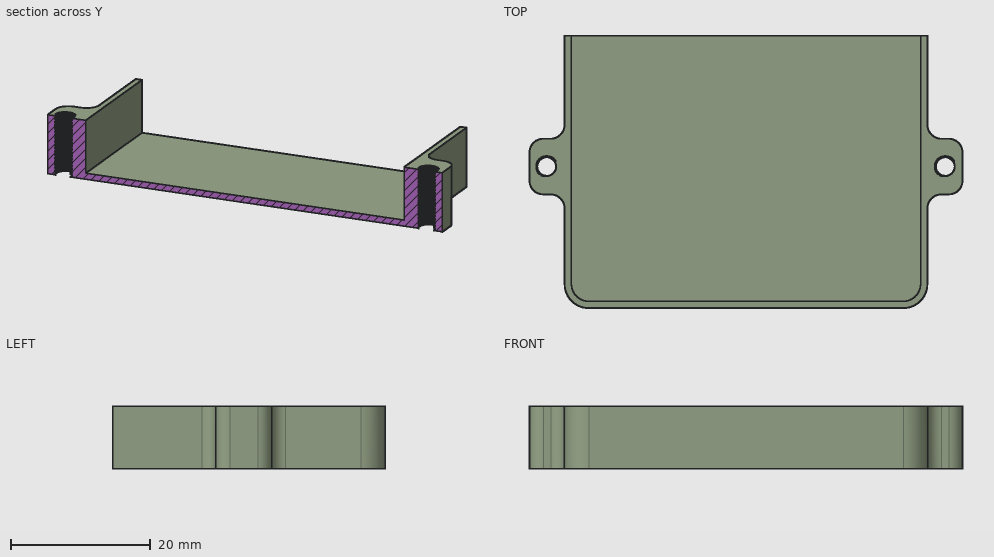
import cadquery as cq
import math

overall_width = 62.0
tray_depth = 39.0
height = 9.0
wall = 1.0
floor = 1.0
corner_radius = 3.5

ear_reach = 5.0
ear_width = 8.0
ear_radius = 2.0
ear_center_y = 20.3
hole_diameter = 2.65
hole_edge_distance = 2.5

thread_pitch = 0.5
thread_root_diameter = 3.05
thread_root_flat = 0.1
thread_flank_angle = math.radians(30)
thread_start_angle = 135
groove_overlap = 0.05
run_out_turns = 2

tray_width = overall_width - 2 * ear_reach
hole_x = overall_width / 2 - hole_edge_distance

def tray_block(inset, base_z):
    """Block with rounded front corners, inset from the front and side faces of the tray."""
    return (
        cq.Workplane("XY")
        .box(tray_width - 2 * inset, tray_depth - inset, height - base_z, centered=(True, False, False))
        .edges("|Z and <Y")
        .fillet(corner_radius - inset)
        .translate((0, inset, base_z))
    )

ear_bar = (
    cq.Workplane("XY")
    .box(overall_width, ear_width, height, centered=(True, True, False))
    .edges("|Z")
    .fillet(ear_radius)
    .translate((0, ear_center_y, 0))
)
body = tray_block(0, 0).union(ear_bar)

corner_reach = ear_radius / 2
for side in (-1, 1):
    for end in (-1, 1):
        corner_x = side * tray_width / 2
        corner_y = ear_center_y + end * ear_width / 2
        inner_corner = cq.selectors.BoxSelector(
            (corner_x - corner_reach, corner_y - corner_reach, 0),
            (corner_x + corner_reach, corner_y + corner_reach, height),
        )
        body = body.edges("|Z").edges(inner_corner).fillet(ear_radius)

def threaded_hole():
    """Cutter for one screw hole about the Z axis: a straight bore plus a helical V-groove."""
    crest_radius = hole_diameter / 2
    root_radius = thread_root_diameter / 2
    inner_radius = crest_radius - groove_overlap
    root_half_width = thread_root_flat / 2
    inner_half_width = root_half_width + (root_radius - inner_radius) * math.tan(thread_flank_angle)

    run_out = run_out_turns * thread_pitch
    path = cq.Wire.makeHelix(thread_pitch, height + 2 * run_out, crest_radius, cq.Vector(0, 0, -run_out))
    groove = (
        cq.Workplane("XZ", origin=(0, 0, -run_out))
        .moveTo(inner_radius, -inner_half_width)
        .lineTo(root_radius, -root_half_width)
        .lineTo(root_radius, root_half_width)
        .lineTo(inner_radius, inner_half_width)
        .close()
        .sweep(cq.Workplane(path), isFrenet=True)
    )
    trim = cq.Workplane("XY").circle(thread_root_diameter).extrude(height)
    bore = cq.Workplane("XY").circle(crest_radius).extrude(height)
    return bore.union(groove.intersect(trim)).rotate((0, 0, 0), (0, 0, 1), thread_start_angle)

result = body.cut(tray_block(wall, floor))

hole_cutter = threaded_hole()
for side in (-1, 1):
    result = result.cut(hole_cutter.translate((side * hole_x, ear_center_y, 0)))